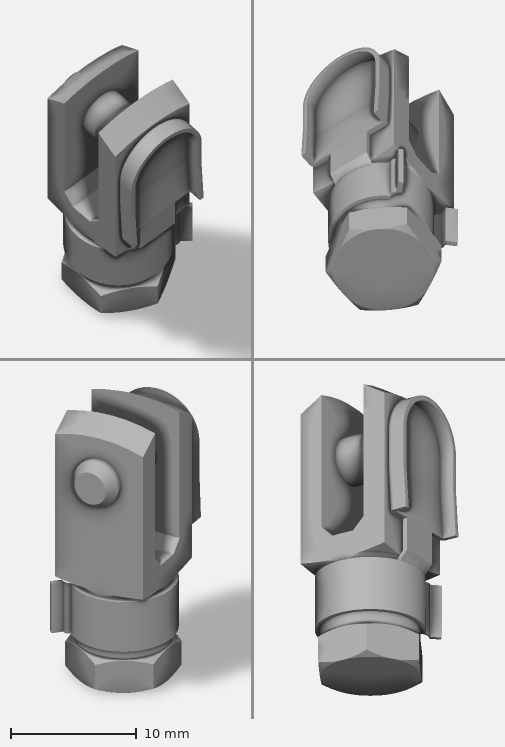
import cadquery as cq
import math


fork_side = 8.0
half_side = fork_side / 2
total_height = 23.9
slot_half_width = 2.0
slot_floor = 10.95
slot_chamfer = 1.0
crown_axis_z = 10.04
crown_angle = 30.0
neck_edge_radius = 0.3
shoulder_base = 8.5
shoulder_fillet = 0.43
shoulder_corner_z = 9.23

nut_height = 2.92
nut_flats = fork_side
nut_chamfer_angle = 30.0

pin_diameter = 4.0
pin_tip_diameter = 2.82
pin_z = 18.9
pin_tip_x = -5.47
pin_taper_length = 1.0

sheet = 0.4
band_bottom = 3.95
band_top = 8.44
band_inner = half_side
band_outer = band_inner + sheet
tab_angle = 135.0
tab_offset = 0.3
tab_bend_radius = 0.48
tab_tip = 5.85
head_x = 4.06
head_radius = 3.78
head_depth = 1.6
head_edge_radius = 0.43
head_straight_end = 15.9
skirt_bottom = 11.95
skirt_shift = 0.25
arm_half_width = 1.8
arm_bend_z = 9.23


def make_fork():
    block = cq.Workplane("XY").box(fork_side, fork_side, total_height, centered=(True, True, False))
    corner_radius = half_side * math.sqrt(2)
    fillet_end = half_side + shoulder_fillet
    turned = (
        cq.Workplane("XZ")
        .moveTo(0, nut_height)
        .lineTo(half_side - neck_edge_radius, nut_height)
        .radiusArc((half_side, nut_height + neck_edge_radius), -neck_edge_radius)
        .lineTo(half_side, shoulder_base)
        .radiusArc((fillet_end, shoulder_base + shoulder_fillet), shoulder_fillet)
        .lineTo(corner_radius, shoulder_corner_z)
        .lineTo(corner_radius, total_height)
        .lineTo(0, total_height)
        .close()
        .revolve(360, (0, 0, 0), (0, 1, 0))
    )
    fork = block.intersect(turned)

    crown_drop = (half_side - slot_half_width) * math.tan(math.radians(crown_angle))
    crown = (
        cq.Workplane("XZ")
        .polyline([
            (-half_side, crown_axis_z),
            (-half_side, total_height - crown_drop),
            (-slot_half_width, total_height),
            (slot_half_width, total_height),
            (half_side, total_height - crown_drop),
            (half_side, crown_axis_z),
        ])
        .close()
        .revolve(360, (0, crown_axis_z, 0), (1, crown_axis_z, 0))
    )
    below_crown = cq.Workplane("XY").box(fork_side, fork_side, crown_axis_z, centered=(True, True, False))
    fork = fork.intersect(crown.union(below_crown))

    slot_height = total_height - slot_floor
    slot = (
        cq.Workplane("XY", origin=(0, 0, slot_floor))
        .box(2 * slot_half_width, fork_side, slot_height, centered=(True, True, False))
        .edges("|Y and <Z")
        .chamfer(slot_chamfer)
    )
    pin_hole = (
        cq.Workplane("YZ", origin=(-half_side, 0, pin_z))
        .circle(pin_diameter / 2)
        .extrude(fork_side)
    )
    return fork.cut(slot).cut(pin_hole)


def make_nut():
    corner_radius = nut_flats / math.sqrt(3)
    face_radius = nut_flats / 2
    chamfer_height = (corner_radius - face_radius) * math.tan(math.radians(nut_chamfer_angle))
    hexagon = cq.Workplane("XY").polygon(6, 2 * corner_radius).extrude(nut_height)
    turned = (
        cq.Workplane("XZ")
        .polyline([
            (0, 0),
            (face_radius, 0),
            (corner_radius, chamfer_height),
            (corner_radius, nut_height - chamfer_height),
            (face_radius, nut_height),
            (0, nut_height),
        ])
        .close()
        .revolve(360, (0, 0, 0), (0, 1, 0))
    )
    return hexagon.intersect(turned)


def make_band():
    bend_radius_inside = tab_bend_radius + sheet
    bend_across = tab_bend_radius - tab_offset
    bend_along = math.sqrt((band_outer + tab_bend_radius)**2 - bend_across**2)
    tab_side = tab_offset + sheet
    angle = math.radians(tab_angle)

    def left(along, across):
        return (
            along * math.cos(angle) - across * math.sin(angle),
            along * math.sin(angle) + across * math.cos(angle),
        )

    def right(along, across):
        x, y = left(along, across)
        return (-x, y)

    def ring_end(radius):
        bend_angle = math.atan2(bend_across, bend_along)
        return (radius * math.cos(bend_angle), radius * math.sin(bend_angle))

    return (
        cq.Workplane("XY", origin=(0, 0, band_bottom))
        .moveTo(*left(*ring_end(band_inner)))
        .radiusArc(left(bend_along, -tab_side), bend_radius_inside)
        .lineTo(*left(tab_tip, -tab_side))
        .lineTo(*left(tab_tip, -tab_offset))
        .lineTo(*left(bend_along, -tab_offset))
        .radiusArc(left(*ring_end(band_outer)), -tab_bend_radius)
        .threePointArc((0, -band_outer), right(*ring_end(band_outer)))
        .radiusArc(right(bend_along, -tab_offset), -tab_bend_radius)
        .lineTo(*right(tab_tip, -tab_offset))
        .lineTo(*right(tab_tip, -tab_side))
        .lineTo(*right(bend_along, -tab_side))
        .radiusArc(right(*ring_end(band_inner)), bend_radius_inside)
        .threePointArc((0, -band_inner), left(*ring_end(band_inner)))
        .close()
        .extrude(band_top - band_bottom)
    )


def channel_outline(inset):
    radius = head_radius - inset
    return (
        cq.Workplane("YZ", origin=(head_x + inset, 0, 0))
        .moveTo(-radius, head_straight_end)
        .lineTo(-radius, pin_z)
        .threePointArc((0, pin_z + radius), (radius, pin_z))
        .lineTo(radius, head_straight_end)
        .close()
        .extrude(head_depth - inset)
    )


def make_head():
    outside = channel_outline(0).faces("<X").edges("not(<Z)").fillet(head_edge_radius)
    return outside.cut(channel_outline(sheet))


def make_skirt():
    def leaning_block(half_width, inset):
        return (
            cq.Workplane("XZ", origin=(0, half_width, 0))
            .polyline([
                (head_x + inset, head_straight_end),
                (head_x + head_depth, head_straight_end),
                (head_x + head_depth + skirt_shift, skirt_bottom),
                (head_x + inset + skirt_shift, skirt_bottom),
            ])
            .close()
            .extrude(2 * half_width)
        )

    outside = leaning_block(head_radius, 0).faces("<X").edges("not(|Y)").fillet(head_edge_radius)
    return outside.cut(leaning_block(head_radius - sheet, sheet))


def make_arm():
    inner_x = head_x + skirt_shift
    outer_x = inner_x + sheet
    strip = (
        cq.Workplane("XY", origin=(inner_x, 0, arm_bend_z))
        .box(sheet, 2 * arm_half_width, skirt_bottom - arm_bend_z, centered=(False, True, False))
    )
    inner_edge_x = math.sqrt(band_inner**2 - arm_half_width**2)
    outer_edge_x = math.sqrt(band_outer**2 - arm_half_width**2)
    blend = (
        cq.Workplane("XY", origin=(0, 0, band_top))
        .moveTo(inner_edge_x, -arm_half_width)
        .lineTo(outer_edge_x, -arm_half_width)
        .threePointArc((band_outer, 0), (outer_edge_x, arm_half_width))
        .lineTo(inner_edge_x, arm_half_width)
        .threePointArc((band_inner, 0), (inner_edge_x, -arm_half_width))
        .close()
        .workplane(offset=arm_bend_z - band_top)
        .moveTo(inner_x, -arm_half_width)
        .lineTo(outer_x, -arm_half_width)
        .lineTo(outer_x, arm_half_width)
        .lineTo(inner_x, arm_half_width)
        .close()
        .loft(ruled=True)
    )
    return strip.union(blend)


def make_pin():
    return (
        cq.Workplane("XZ", origin=(0, 0, pin_z))
        .polyline([
            (pin_tip_x, 0),
            (pin_tip_x, pin_tip_diameter / 2),
            (pin_tip_x + pin_taper_length, pin_diameter / 2),
            (head_x + sheet, pin_diameter / 2),
            (head_x + sheet, 0),
        ])
        .close()
        .revolve(360, (0, 0, 0), (1, 0, 0))
    )


def make_clip():
    clip = make_head()
    for piece in (make_skirt(), make_arm(), make_band(), make_pin()):
        clip = clip.union(piece)
    return clip


fork = make_fork()
nut = make_nut()
clip = make_clip()

result = cq.Compound.makeCompound([fork.solids().val(), nut.solids().val(), clip.solids().val()])